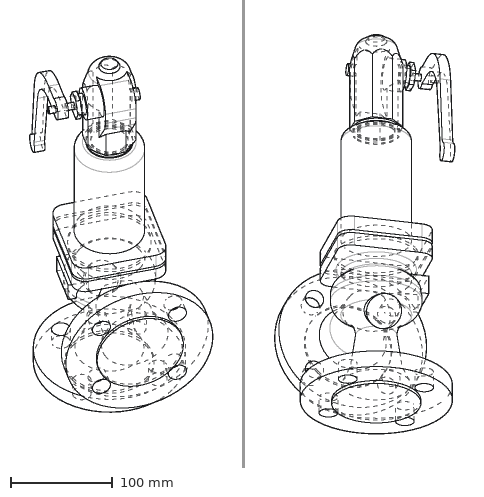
import cadquery as cq
import math


flange_dia = 150.0
flange_thk = 17.2
face_dia = 88.0
face_height = 3.2
bolt_circle_dia = 109.7
bolt_hole_dia = 18.5
bolt_count = 4
neck_root_r = 34.0
outlet_z = 116.0
outlet_reach = 115.0
outlet_bend_x = 77.3
outlet_bend_r = 27.5
outlet_start_x = 24.0
outlet_start_r = 23.0

flange_top_z = face_height + flange_thk
inlet_bend_z = 39.0
inlet_bend_r = 25.5
throat_r = 20.5
throat_blend_r = 24.0
bowl_r = 45.3
bowl_arc_r = 17.0
bowl_low_z = 112.0
bowl_high_z = 118.0
collar_r = 35.0
collar_low_fillet = 3.2
collar_top_fillet = 5.0

square_side = 95.7
square_corner_r = 13.5
lower_square_z = 146.5
joint_z = 160.0
joint_r = 41.3
upper_square_z = 163.5
housing_z = 178.2

housing_r = 35.0
housing_top_z = 295.5
housing_fillet = 8.5
washer_r = 23.2
washer_thk = 1.2
stem_r = 18.5
shoulder_r = 23.0
shoulder_z = 299.0
octagon_z = 301.5
cap_sides = 8
octagon_flats = 49.0
cap_cone_base_r = 28.0
cap_cone_base_z = 365.3
cap_top_r = 18.5
cap_top_z = 397.0
cap_fillet = 10.5
button_base_r = 10.5
button_top_r = 8.5
top_z = 400.5

spigot_r = 17.5
spigot_tilt = 36.0
spigot_x = -31.2
spigot_z = 86.0
spigot_len = 32.0
plate_width = 43.3
plate_front = 48.0
plate_back = 24.0
plate_low_z = 115.7
plate_high_z = 135.0

pin_x = 21.5
pin_z = 373.5
hood_half_width = 15.5
hood_r = 20.5
hood_corner_z = 355.2
hood_slope = 35.0
hood_fillet = 20.0
rear_boss_r = 6.0
rear_boss_y = 24.0
front_boss_r = 16.0
front_boss_y = 32.5
gland_r = 11.0
gland_y = 37.2
nut_sides = 6
nut_flats = 24.5
nut_y = 42.0
pin_r = 3.5
pin_y = 68.0

lever_back_y = 50.5
lever_front_y = 61.3
eye_r = 11.0
arm_half_height = 9.2
bend_x = -3.0
bend_outer_r = 54.5
bend_inner_r = 42.0
outer_lean = 6.8
inner_lean = 10.2
knob_r = 9.2
knob_x = -64.5
knob_z = 251.5
knob_fillet = 7.2


def round_disc(radius, low_z, high_z):
    return cq.Workplane("XY").workplane(offset=low_z).circle(radius).extrude(high_z - low_z)


def pin_cylinder(radius, near_y, far_y):
    """Cylinder on the lever shaft axis between two Y positions (far_y < near_y)."""
    plane = cq.Workplane("XZ", origin=(pin_x, near_y, pin_z))
    return plane.circle(radius).extrude(near_y - far_y)


def pipe_flange():
    """Flange on the XY plane, raised face downward, with bolt holes astride the axes."""
    raised_face = round_disc(face_dia / 2, 0, face_height)
    disc = raised_face.union(round_disc(flange_dia / 2, face_height, flange_top_z))
    holes = (
        cq.Workplane("XY")
        .polarArray(bolt_circle_dia / 2, 180 / bolt_count, 360, bolt_count)
        .circle(bolt_hole_dia / 2)
        .extrude(flange_top_z)
    )
    return disc.cut(holes)


def body():
    """Inlet neck, throat, bowl and collar as one turned shape."""
    bowl_arc_x = bowl_r - bowl_arc_r
    blend_x = throat_r + throat_blend_r
    centre_gap = bowl_arc_r + throat_blend_r
    blend_z = bowl_low_z - math.sqrt(centre_gap**2 - (blend_x - bowl_arc_x) ** 2)
    share = throat_blend_r / centre_gap
    touch = (blend_x + share * (bowl_arc_x - blend_x), blend_z + share * (bowl_low_z - blend_z))
    blend_angle = math.atan2(touch[1] - blend_z, touch[0] - blend_x)
    blend_mid_angle = (math.pi + blend_angle) / 2
    blend_mid = (
        blend_x + throat_blend_r * math.cos(blend_mid_angle),
        blend_z + throat_blend_r * math.sin(blend_mid_angle),
    )
    low_mid_angle = math.atan2(touch[1] - bowl_low_z, touch[0] - bowl_arc_x) / 2
    low_mid = (
        bowl_arc_x + bowl_arc_r * math.cos(low_mid_angle),
        bowl_low_z + bowl_arc_r * math.sin(low_mid_angle),
    )
    collar_z = bowl_high_z + math.sqrt(bowl_arc_r**2 - (collar_r - bowl_arc_x) ** 2)
    profile = (
        cq.Workplane("XZ")
        .moveTo(0, flange_top_z)
        .lineTo(neck_root_r, flange_top_z)
        .lineTo(inlet_bend_r, inlet_bend_z)
        .lineTo(throat_r, blend_z)
        .threePointArc(blend_mid, touch)
        .threePointArc(low_mid, (bowl_r, bowl_low_z))
        .lineTo(bowl_r, bowl_high_z)
        .tangentArcPoint((collar_r, collar_z), relative=False)
        .lineTo(collar_r, lower_square_z - collar_top_fillet)
        .tangentArcPoint((collar_top_fillet, collar_top_fillet))
        .lineTo(0, lower_square_z)
        .close()
    )
    turned = profile.revolve(360, (0, 0, 0), (0, 1, 0))
    collar_foot = cq.selectors.NearestToPointSelector((0, 0, collar_z))
    return turned.edges("%CIRCLE").edges(collar_foot).fillet(collar_low_fillet)


def outlet():
    """Two-stage conical neck and flange toward +X."""
    root_x = outlet_reach - flange_top_z
    neck = (
        cq.Workplane("XZ", origin=(0, 0, outlet_z))
        .moveTo(outlet_start_x, 0)
        .lineTo(outlet_start_x, outlet_start_r)
        .lineTo(outlet_bend_x, outlet_bend_r)
        .lineTo(root_x, neck_root_r)
        .lineTo(root_x, 0)
        .close()
        .revolve(360, (0, 0, 0), (1, 0, 0))
    )
    flange = pipe_flange().rotate((0, 0, 0), (0, 1, 0), -90)
    return neck.union(flange.translate((outlet_reach, 0, outlet_z)))


def square_flange(low_z, high_z):
    plate = cq.Workplane("XY").workplane(offset=low_z).rect(square_side, square_side)
    return plate.extrude(high_z - low_z).edges("|Z").fillet(square_corner_r)


def spigot():
    """Drain boss with its flat end leaning down and toward -X."""
    lean = math.radians(spigot_tilt)
    end_face = cq.Plane(
        origin=(spigot_x, 0, spigot_z),
        xDir=(0, 1, 0),
        normal=(math.cos(lean), 0, math.sin(lean)),
    )
    return cq.Workplane(end_face).circle(spigot_r).extrude(spigot_len)


def name_plate():
    depth = plate_front - plate_back
    height = plate_high_z - plate_low_z
    block = cq.Workplane("XY").box(plate_width, depth, height, centered=(True, False, False))
    return block.translate((0, -plate_front, plate_low_z))


def housing():
    """Spring housing with the stepped stem that carries the cap."""
    tube = round_disc(housing_r, housing_z, housing_top_z).faces(">Z").edges().fillet(housing_fillet)
    washer = round_disc(washer_r, housing_top_z, housing_top_z + washer_thk)
    stem = round_disc(stem_r, housing_top_z, shoulder_z)
    return tube.union(washer).union(stem).union(round_disc(shoulder_r, shoulder_z, octagon_z))


def cap():
    """Octagon trimmed by a rounded cone, with a small button on top."""
    corner_dia = octagon_flats / math.cos(math.pi / cap_sides)
    octagon = (
        cq.Workplane("XY")
        .workplane(offset=octagon_z)
        .polygon(cap_sides, corner_dia)
        .extrude(cap_top_z - octagon_z)
        .rotate((0, 0, 0), (0, 0, 1), 180 / cap_sides)
    )
    envelope = (
        cq.Workplane("XZ")
        .moveTo(0, octagon_z)
        .lineTo(cap_cone_base_r, octagon_z)
        .lineTo(cap_cone_base_r, cap_cone_base_z)
        .lineTo(cap_top_r, cap_top_z)
        .lineTo(0, cap_top_z)
        .close()
        .revolve(360, (0, 0, 0), (0, 1, 0))
        .faces(">Z")
        .edges()
        .fillet(cap_fillet)
    )
    button = (
        cq.Workplane("XY")
        .workplane(offset=cap_top_z)
        .circle(button_base_r)
        .workplane(offset=top_z - cap_top_z)
        .circle(button_top_r)
        .loft()
    )
    return octagon.intersect(envelope).union(button)


def hood():
    """Rounded side housing of the lever shaft, running out into the cap below."""
    right_x = pin_x + hood_r
    low_x = pin_x - hood_r
    low_z = hood_corner_z - 2 * hood_r / math.tan(math.radians(hood_slope))
    block = (
        cq.Workplane("XZ", origin=(0, hood_half_width, 0))
        .moveTo(low_x, pin_z + hood_r)
        .lineTo(pin_x, pin_z + hood_r)
        .tangentArcPoint((right_x, pin_z), relative=False)
        .lineTo(right_x, hood_corner_z)
        .lineTo(low_x, low_z)
        .close()
        .extrude(2 * hood_half_width)
    )
    corner = cq.selectors.NearestToPointSelector((right_x, 0, hood_corner_z))
    return block.edges(corner).fillet(hood_fillet)


def lever_shaft():
    """Bosses, gland, hexagon nut and pin along the lever axis."""
    nut = (
        cq.Workplane("XZ", origin=(pin_x, -gland_y, pin_z))
        .polygon(nut_sides, nut_flats / math.cos(math.pi / nut_sides))
        .extrude(nut_y - gland_y)
    )
    return (
        pin_cylinder(rear_boss_r, rear_boss_y, 0)
        .union(pin_cylinder(front_boss_r, 0, -front_boss_y))
        .union(pin_cylinder(gland_r, 0, -gland_y))
        .union(nut)
        .union(pin_cylinder(pin_r, 0, -pin_y))
    )


def lean_point(radius, arm_z, lean_degrees):
    """Where a bend arc hanging below arm_z turns into a line leaning off vertical."""
    lean = math.radians(lean_degrees)
    return (bend_x - radius * math.cos(lean), arm_z - radius + radius * math.sin(lean))


def lever():
    """Flat lever: eye on the pin, bent tapering arm, round knob."""
    thickness = lever_front_y - lever_back_y
    arm_top = pin_z + arm_half_height
    arm_bottom = pin_z - arm_half_height
    outer = lean_point(bend_outer_r, arm_top, outer_lean)
    inner = lean_point(bend_inner_r, arm_bottom, inner_lean)
    outer_end_x = outer[0] - (outer[1] - knob_z) * math.tan(math.radians(outer_lean))
    inner_end_x = inner[0] - (inner[1] - knob_z) * math.tan(math.radians(inner_lean))
    plane = cq.Workplane("XZ", origin=(0, -lever_back_y, 0))
    arm = (
        plane.moveTo(pin_x, arm_top)
        .lineTo(bend_x, arm_top)
        .tangentArcPoint(outer, relative=False)
        .lineTo(outer_end_x, knob_z)
        .lineTo(inner_end_x, knob_z)
        .lineTo(*inner)
        .tangentArcPoint((bend_x, arm_bottom), relative=False)
        .lineTo(pin_x, arm_bottom)
        .close()
        .extrude(thickness)
    )
    knob = plane.center(knob_x, knob_z).circle(knob_r).extrude(thickness)
    knob_zone = cq.selectors.BoxSelector(
        (knob_x - knob_r, -lever_front_y, knob_z + knob_r / 4),
        (knob_x + knob_r, -lever_back_y, knob_z + 2 * knob_r),
    )
    handle = arm.union(knob).edges("|Y").edges(knob_zone).fillet(knob_fillet)
    return handle.union(plane.center(pin_x, pin_z).circle(eye_r).extrude(thickness))


result = (
    pipe_flange()
    .union(body())
    .union(outlet())
    .union(spigot())
    .union(name_plate())
    .union(square_flange(lower_square_z, joint_z))
    .union(round_disc(joint_r, joint_z, upper_square_z))
    .union(square_flange(upper_square_z, housing_z))
    .union(housing())
    .union(cap())
    .union(hood())
    .union(lever_shaft())
    .union(lever())
)